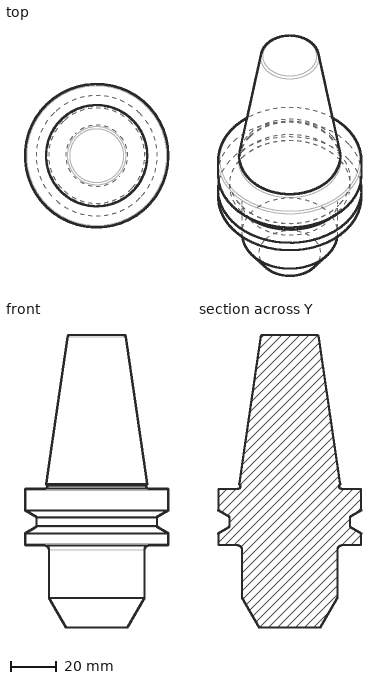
import cadquery as cq
import math


gauge_radius = 44.45 / 2
taper_length = 65.4
taper_ratio = 7 / 24
taper_end_radius = gauge_radius - taper_length * taper_ratio / 2
taper_end_fillet = 1.0

flange_top = -2.0
relief_depth = 0.45
relief_angle = 30.0
relief_height = relief_depth / math.tan(math.radians(relief_angle))
neck_fillet = 0.8
neck_radius = gauge_radius - relief_depth

flange_radius = 63.0 / 2
flange_bottom = -27.0
flange_edge = 0.8

groove_center = -16.62
groove_floor_radius = 53.0 / 2
groove_mouth_width = 10.06
groove_floor_fillet = 0.4
groove_flank_angle = 30.0
groove_flank_height = (flange_radius - groove_floor_radius) * math.tan(math.radians(groove_flank_angle))
groove_mouth_half = groove_mouth_width / 2
groove_floor_half = groove_mouth_half - groove_flank_height

nose_radius = 42.0 / 2
nose_fillet = 2.0
tip_radius = 27.0 / 2
tip_angle = 30.0
nose_bottom = -63.0
cone_top = nose_bottom + (nose_radius - tip_radius) / math.tan(math.radians(tip_angle))


def make_shank():
    """Taper shank with a rounded small end and a tapering relief below the gauge plane."""
    profile = (
        cq.Workplane("XZ")
        .moveTo(0, flange_top)
        .lineTo(neck_radius + neck_fillet, flange_top)
        .radiusArc((neck_radius, flange_top + neck_fillet), neck_fillet)
        .lineTo(neck_radius, -relief_height)
        .lineTo(gauge_radius, 0)
        .lineTo(taper_end_radius, taper_length)
        .lineTo(0, taper_length)
        .close()
    )
    shank = profile.revolve(360, (0, 0), (0, 1))
    return shank.faces(">Z").edges().fillet(taper_end_fillet)


def make_flange():
    """Flange with a V-groove and rounded outer edges."""
    profile = (
        cq.Workplane("XZ")
        .moveTo(0, flange_top)
        .lineTo(flange_radius, flange_top)
        .lineTo(flange_radius, groove_center + groove_mouth_half)
        .lineTo(groove_floor_radius, groove_center + groove_floor_half)
        .lineTo(groove_floor_radius, groove_center - groove_floor_half)
        .lineTo(flange_radius, groove_center - groove_mouth_half)
        .lineTo(flange_radius, flange_bottom)
        .lineTo(0, flange_bottom)
        .close()
    )
    flange = profile.revolve(360, (0, 0), (0, 1))
    flange = flange.edges(cq.selectors.RadiusNthSelector(0)).fillet(groove_floor_fillet)
    return flange.faces(">Z or <Z").edges().fillet(flange_edge)


def make_nose():
    """Cylindrical nose that flares into the flange and narrows to a conical tip."""
    profile = (
        cq.Workplane("XZ")
        .moveTo(0, flange_bottom)
        .lineTo(nose_radius + nose_fillet, flange_bottom)
        .radiusArc((nose_radius, flange_bottom - nose_fillet), -nose_fillet)
        .lineTo(nose_radius, cone_top)
        .lineTo(tip_radius, nose_bottom)
        .lineTo(0, nose_bottom)
        .close()
    )
    return profile.revolve(360, (0, 0), (0, 1))


result = make_shank().union(make_flange()).union(make_nose())